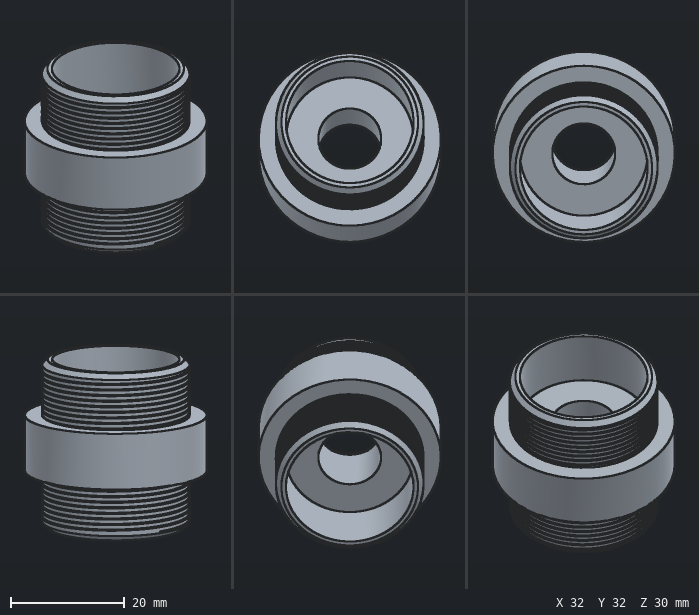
import cadquery as cq

collar_diameter = 32.0
total_height = 30.0
section_height = total_height / 3
neck_diameter = 26.0
neck_chamfer = 1.0

socket_diameter = 22.4
socket_depth = section_height
through_diameter = 11.0

thread_pitch = section_height / 10
groove_width = 0.22
groove_depth = 0.13
groove_overcut = 0.05
groove_end_gap = 0.2
groove_turns = 9


def plain_neck():
    """Upper neck cylinder, chamfered on its free end."""
    return (
        cq.Workplane("XY", origin=(0, 0, section_height / 2))
        .circle(neck_diameter / 2)
        .extrude(section_height)
        .faces(">Z")
        .chamfer(neck_chamfer)
    )


def groove_cutter(start_height):
    """V-shaped helical cutter that starts and ends on the -X side."""
    neck_radius = neck_diameter / 2
    outer_radius = neck_radius + groove_overcut
    root_radius = neck_radius - groove_depth
    outer_half_width = groove_width / 2 * (outer_radius - root_radius) / groove_depth
    path = cq.Wire.makeHelix(thread_pitch, groove_turns * thread_pitch, neck_radius)
    return (
        cq.Workplane("XZ")
        .moveTo(root_radius, 0)
        .lineTo(outer_radius, outer_half_width)
        .lineTo(outer_radius, -outer_half_width)
        .close()
        .sweep(cq.Workplane(obj=path), isFrenet=True)
        .rotate((0, 0, 0), (0, 0, 1), 180)
        .translate((0, 0, start_height))
    )


thread_top = total_height / 2 - neck_chamfer - groove_end_gap
thread_bottom = thread_top - groove_turns * thread_pitch
upper_neck = plain_neck().cut(groove_cutter(thread_bottom))

lower_neck = upper_neck.rotate((0, 0, 0), (0, 1, 0), 180)

collar = (
    cq.Workplane("XY", origin=(0, 0, -section_height / 2))
    .circle(collar_diameter / 2)
    .extrude(section_height)
)

bore = cq.Workplane("XY").circle(through_diameter / 2).extrude(total_height / 2, both=True)
for socket_bottom in (total_height / 2 - socket_depth, -total_height / 2):
    socket = (
        cq.Workplane("XY", origin=(0, 0, socket_bottom))
        .circle(socket_diameter / 2)
        .extrude(socket_depth)
    )
    bore = bore.union(socket)

result = collar.union(upper_neck).union(lower_neck).cut(bore)